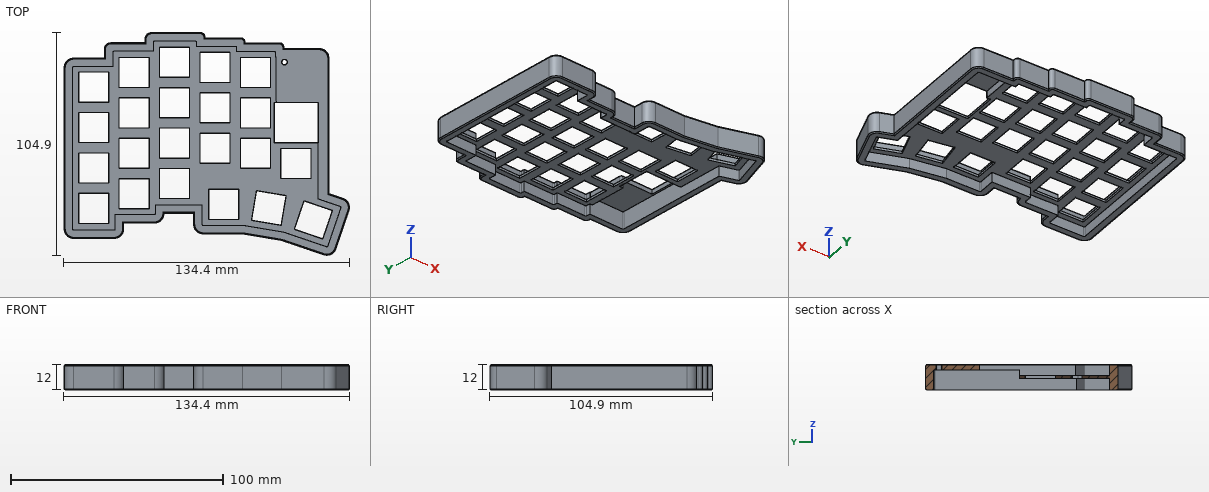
import cadquery as cq
import math

case_height = 12.0
plate_top = 6.9
plate_thickness = 1.3
plate_bottom = plate_top - plate_thickness
cover_thickness = 2.5
cover_bottom = case_height - cover_thickness

board_clearance = 0.5
wall_thickness = 4.0
outer_growth = board_clearance + wall_thickness
edge_inset = 0.5
edge_drop = 0.7
rising_step_radius = 3.0
falling_step_radius = 2.0

key_pitch = 19.05
key_opening = 14.05
stagger_step = 2.4
first_stagger = 6.9
key_columns = [
    (0.0, 4),
    (first_stagger, 4),
    (first_stagger + 2 * stagger_step, 4),
    (first_stagger + stagger_step + key_pitch, 3),
    (first_stagger + key_pitch, 3),
    (first_stagger - 2 * stagger_step + key_pitch, 1),
]
thumb_tilt = 9.5
end_thumb_tilt = 18.8
thumb_keys = [
    (61.25, 1.9, 0.0),
    (82.5, 0.2, thumb_tilt),
    (103.5, -5.4, end_thumb_tilt),
]

board_left = -9.4
board_right = 106.3
board_tops = [66.3, 73.55, 78.3, 75.85, 73.5]
controller_top = 70.8
top_steps = [9.55, 28.7, 47.9, 66.8, 85.1]
board_bottoms = [-9.65, -2.4, 2.2, -7.5]
bottom_steps = [9.65, 28.6, 51.6]
first_bend_x = 70.5
thumb_run = 19.4
end_thumb_run = 21.35
end_thumb_width = 19.05

cover_left = 86.0
cover_front = 49.8
cover_corner_radius = 0.8
cover_wall = 1.2
cover_rim_left = 105.7
window_left = 85.1
window_front = 31.0

hole_diameter = 2.5
hole_position = (89.9, 68.9)

far = 200.0


def step_along(point, length, heading):
    """Point reached from `point` after `length` in the direction `heading`, in degrees."""
    angle = math.radians(heading)
    return (point[0] + length * math.cos(angle), point[1] + length * math.sin(angle))


def second_bend():
    """Bend of the front edge between the two tilted thumb keys."""
    return step_along((first_bend_x, board_bottoms[-1]), thumb_run, -thumb_tilt)


def end_thumb_corners():
    """Front and back board corners beyond the last thumb key."""
    low_corner = step_along(second_bend(), end_thumb_run, -end_thumb_tilt)
    high_corner = step_along(low_corner, end_thumb_width, 90 - end_thumb_tilt)
    return low_corner, high_corner


def inner_corner():
    """Board corner where the thumb cluster meets the right edge."""
    high_corner = end_thumb_corners()[1]
    back_run = (high_corner[0] - board_right) / math.cos(math.radians(end_thumb_tilt))
    return step_along(high_corner, back_run, 180 - end_thumb_tilt)


def board_points():
    """Corners of the circuit board, counter-clockwise from the lower left."""
    points = [(board_left, board_bottoms[0])]
    for x, before, after in zip(bottom_steps, board_bottoms, board_bottoms[1:]):
        points += [(x, before), (x, after)]

    low_corner, high_corner = end_thumb_corners()
    points += [(first_bend_x, board_bottoms[-1]), second_bend()]
    points += [low_corner, high_corner, inner_corner()]

    tops = board_tops + [controller_top]
    points.append((board_right, controller_top))
    for x, left_top, right_top in reversed(list(zip(top_steps, tops, tops[1:]))):
        points += [(x, right_top), (x, left_top)]
    points.append((board_left, tops[0]))
    return points


def board_prism(growth, bottom, top, corner_kind="arc"):
    """Board outline grown by `growth` and extruded between two heights."""
    outline = cq.Workplane("XY", origin=(0, 0, bottom)).polyline(board_points()).close()
    return outline.offset2D(growth, corner_kind).extrude(top - bottom)


def box(x_min, x_max, y_min, y_max, z_min, z_max):
    """Axis-aligned block between the given limits."""
    size = (x_max - x_min, y_max - y_min, z_max - z_min)
    return cq.Workplane("XY").box(*size, centered=False).translate((x_min, y_min, z_min))


def outer_corners():
    """(board corner, X direction, Y direction, radius) of every rounded corner of the case."""
    low_corner, high_corner = end_thumb_corners()
    corners = [
        ((board_left, board_tops[0]), -1, 1, outer_growth),
        ((board_right, controller_top), 1, 1, outer_growth),
        ((board_left, board_bottoms[0]), -1, -1, outer_growth),
        ((bottom_steps[0], board_bottoms[0]), 1, -1, outer_growth),
        ((bottom_steps[1], board_bottoms[1]), 1, -1, outer_growth),
        ((bottom_steps[2], board_bottoms[3]), -1, -1, outer_growth),
        (low_corner, 1, -1, outer_growth),
        (high_corner, 1, 1, outer_growth),
    ]
    for step in (0, 1):
        corners.append(((top_steps[step], board_tops[step + 1]), -1, 1, rising_step_radius))
    for step in (2, 3, 4):
        corners.append(((top_steps[step], board_tops[step]), 1, 1, falling_step_radius))
    return corners


def outer_body():
    """Solid case with rounded corners and bevelled upper and lower rims."""
    body = board_prism(outer_growth, 0, case_height, "intersection")
    for (x, y), x_direction, y_direction, radius in outer_corners():
        near = (x + x_direction * outer_growth, y + y_direction * outer_growth, case_height / 2)
        body = body.edges("|Z").edges(cq.NearestToPointSelector(near)).fillet(radius)
    return body.faces("<Z or >Z").chamfer(edge_drop, edge_inset)


def cover_prism():
    """Controller cover with its rim, which ends along the back wall of the thumb cluster."""
    tilt = math.radians(end_thumb_tilt)
    rim_offset = (board_right - cover_rim_left) * math.tan(tilt)
    rim_front = inner_corner()[1] + board_clearance / math.cos(tilt) + rim_offset
    outline = [
        (cover_left, far),
        (cover_left, cover_front),
        (cover_rim_left, cover_front),
        (cover_rim_left, rim_front),
        (far, rim_front - (far - cover_rim_left) * math.tan(tilt)),
        (far, far),
    ]
    prism = cq.Workplane("XY", origin=(0, 0, plate_top)).polyline(outline).close()
    prism = prism.extrude(case_height - plate_top)
    corner = cq.NearestToPointSelector((cover_left, cover_front, (plate_top + case_height) / 2))
    return prism.edges("|Z").edges(corner).fillet(cover_corner_radius)


def key_pocket():
    """Open space above the plate, kept clear of the controller cover and its rim."""
    return board_prism(board_clearance, plate_top, case_height).cut(cover_prism())


def lower_cavity():
    """Space under the plate, open at the bottom."""
    return board_prism(board_clearance, 0, plate_bottom)


def controller_cavity():
    """Space under the cover, behind the wall that closes it off from the keys."""
    cavity = board_prism(board_clearance, plate_bottom, cover_bottom)
    return cavity.intersect(
        box(cover_left + cover_wall, far, window_front, far, plate_bottom, cover_bottom)
    )


def plate_window():
    """Opening in the plate in front of the cover."""
    return box(window_left, cover_rim_left, window_front, cover_front, plate_bottom, plate_top)


def key_opening_cutter(x, y, tilt):
    """Square key opening through the plate, turned clockwise by `tilt` degrees."""
    cutter = cq.Workplane("XY").rect(key_opening, key_opening).extrude(plate_thickness)
    return cutter.rotate((0, 0, 0), (0, 0, 1), -tilt).translate((x, y, plate_bottom))


def key_places():
    """(centre X, centre Y, clockwise tilt) of every key."""
    places = []
    for column, (lowest, count) in enumerate(key_columns):
        for row in range(count):
            places.append((column * key_pitch, lowest + row * key_pitch, 0.0))
    return places + thumb_keys


def screw_hole():
    hole = cq.Workplane("XY", origin=(*hole_position, cover_bottom)).circle(hole_diameter / 2)
    return hole.extrude(cover_thickness)


result = outer_body()
for cutter in (lower_cavity(), key_pocket(), controller_cavity(), plate_window(), screw_hole()):
    result = result.cut(cutter)
for place in key_places():
    result = result.cut(key_opening_cutter(*place))